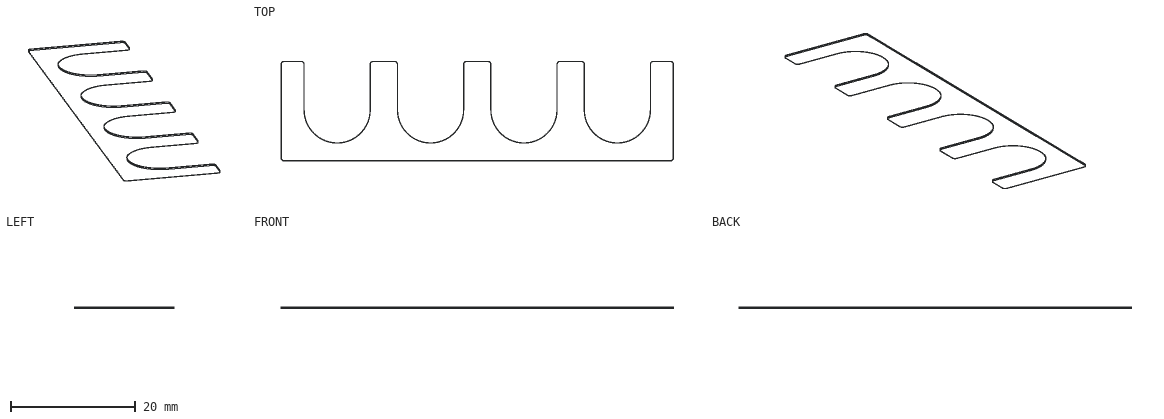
import cadquery as cq

length = 63.0
depth = 16.0
thickness = 0.25
corner_radius = 0.5

slot_count = 4
slot_pitch = 15.0
slot_width = 10.6
spine_width = 2.9

slot_radius = slot_width / 2
slot_center_y = -depth / 2 + spine_width + slot_radius


def make_slot(center_x):
    """Cutter for one slot: a round bottom and straight sides up to the +Y edge."""
    return (
        cq.Workplane("XY")
        .moveTo(center_x - slot_radius, depth / 2)
        .lineTo(center_x - slot_radius, slot_center_y)
        .threePointArc(
            (center_x, slot_center_y - slot_radius),
            (center_x + slot_radius, slot_center_y),
        )
        .lineTo(center_x + slot_radius, depth / 2)
        .close()
        .extrude(thickness)
    )


plate = cq.Workplane("XY").rect(length, depth).extrude(thickness)

for index in range(slot_count):
    slot_x = (index - (slot_count - 1) / 2) * slot_pitch
    plate = plate.cut(make_slot(slot_x))

tip_edges = plate.faces(">Y").edges("|Z")
base_edges = plate.faces("<Y").edges("|Z")
result = plate.newObject(tip_edges.vals() + base_edges.vals()).fillet(corner_radius)